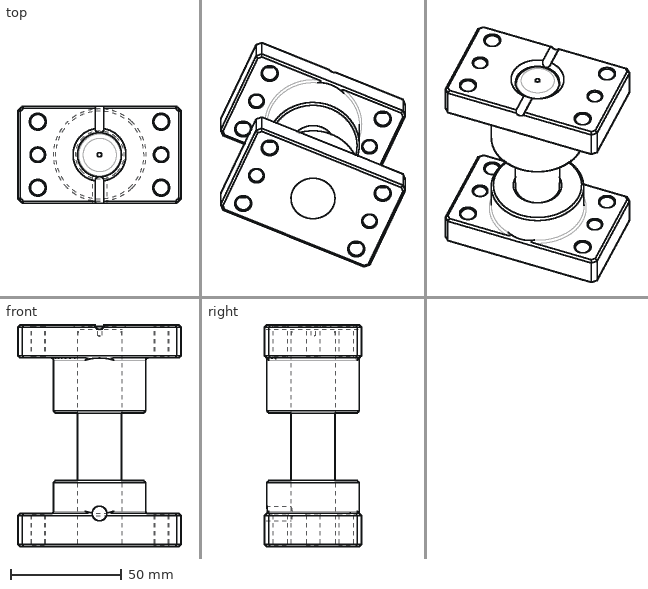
import cadquery as cq
import math

total_height = 100.6
plate_length = 74.0
plate_width = 44.0
plate_thickness = 15.0
corner_chamfer = 2.0
edge_chamfer = 1.0

hub_diameter = 42.0
hub_edge_chamfer = 1.0
hub_root_fillet = 1.0
base_flange_height = 30.0
head_flange_height = 40.0

hole_spacing_x = 56.0
screw_spacing_y = 30.0
screw_hole_diameter = 6.6
dowel_hole_diameter = 6.0
hole_chamfer = 0.5

pin_diameter = 20.0
pin_top_gap = 0.6
pin_lead_in_length = 4.0
pin_lead_in_setback = 0.8
pin_end_radius = 2.0
center_hole_diameter = 2.0
center_hole_depth = 4.0
drill_point_angle = 118.0
base_bore_chamfer = 1.0
head_bore_chamfer = 2.0

vent_groove_radius = 2.0
cross_hole_diameter = 6.6


def revolve_profile(points):
    """Body turned around the Z axis from (radius, height) points."""
    return cq.Workplane("XZ").polyline(points).close().revolve(360, (0, 0, 0), (0, 1, 0))


def make_plate():
    """Chamfered rectangular plate standing on Z = 0."""
    plate = cq.Workplane("XY").box(
        plate_length, plate_width, plate_thickness, centered=(True, True, False)
    )
    plate = plate.edges("|Z").chamfer(corner_chamfer)
    return plate.faces("<Z or >Z").edges().chamfer(edge_chamfer)


def make_hub(top):
    """Chamfered hub rising from the plate face up to the given height."""
    hub = cq.Workplane("XY").workplane(offset=plate_thickness)
    hub = hub.circle(hub_diameter / 2).extrude(top - plate_thickness)
    return hub.faces(">Z").edges().chamfer(hub_edge_chamfer)


def make_root_fillet():
    """Concave ring at the hub root, trimmed by the slopes of the plate's rim chamfer."""
    inner = pin_diameter / 2
    hub_radius = hub_diameter / 2
    outer = hub_radius + hub_root_fillet
    bottom = plate_thickness - edge_chamfer
    arc_top = plate_thickness + hub_root_fillet
    arc_offset = hub_root_fillet * (1 - math.sqrt(0.5))
    ring = (
        cq.Workplane("XZ")
        .moveTo(inner, bottom)
        .lineTo(outer, bottom)
        .lineTo(outer, plate_thickness)
        .threePointArc(
            (hub_radius + arc_offset, plate_thickness + arc_offset), (hub_radius, arc_top)
        )
        .lineTo(inner, arc_top)
        .close()
        .revolve(360, (0, 0, 0), (0, 1, 0))
    )
    slopes = cq.Workplane("XY").workplane(offset=bottom)
    slopes = slopes.rect(plate_length, plate_width).extrude(arc_top - bottom, taper=45)
    return ring.intersect(slopes)


def make_through_holes(diameter, points):
    """Cutters for plate holes that are chamfered at both faces."""
    radius = diameter / 2
    rim = radius + hole_chamfer
    profile = [
        (0, 0),
        (rim, 0),
        (radius, hole_chamfer),
        (radius, plate_thickness - hole_chamfer),
        (rim, plate_thickness),
        (0, plate_thickness),
    ]
    cutter = revolve_profile(profile)
    return [cutter.translate((x, y, 0)) for x, y in points]


def make_flange(height):
    """Plate and hub with mounting holes and the pin bore; hub points up."""
    flange = make_plate().union(make_hub(height)).union(make_root_fillet())
    sides = (-hole_spacing_x / 2, hole_spacing_x / 2)
    screw_points = [(x, y) for x in sides for y in (-screw_spacing_y / 2, screw_spacing_y / 2)]
    dowel_points = [(x, 0) for x in sides]
    cutters = make_through_holes(screw_hole_diameter, screw_points)
    cutters += make_through_holes(dowel_hole_diameter, dowel_points)
    for cutter in cutters:
        flange = flange.cut(cutter)
    bore = cq.Workplane("XY").circle(pin_diameter / 2).extrude(height)
    return flange.cut(bore)


def make_base():
    """Lower flange with a chamfered bore mouth and a cross hole from -Y to the bore."""
    base = make_flange(base_flange_height)
    mouth = cq.Solid.makeCone(
        pin_diameter / 2,
        pin_diameter / 2 + base_bore_chamfer,
        base_bore_chamfer,
        pnt=cq.Vector(0, 0, base_flange_height - base_bore_chamfer),
    )
    cross_hole = cq.Solid.makeCylinder(
        cross_hole_diameter / 2,
        plate_width / 2,
        pnt=cq.Vector(0, -plate_width / 2, plate_thickness),
        dir=cq.Vector(0, 1, 0),
    )
    return base.cut(cq.Workplane(mouth)).cut(cq.Workplane(cross_hole))


def make_head():
    """Upper flange turned hub down, with a conical recess and a vent groove on top."""
    head = make_flange(head_flange_height)
    head = head.rotate((0, 0, 0), (1, 0, 0), 180).translate((0, 0, total_height))
    recess = cq.Solid.makeCone(
        pin_diameter / 2,
        pin_diameter / 2 + head_bore_chamfer,
        head_bore_chamfer,
        pnt=cq.Vector(0, 0, total_height - head_bore_chamfer),
    )
    groove = cq.Solid.makeCylinder(
        vent_groove_radius,
        plate_width,
        pnt=cq.Vector(0, -plate_width / 2, total_height),
        dir=cq.Vector(0, 1, 0),
    )
    return head.cut(cq.Workplane(recess)).cut(cq.Workplane(groove))


def make_pin():
    """Guide pin with a tapered, rounded upper end and a drilled center hole."""
    length = total_height - pin_top_gap
    radius = pin_diameter / 2
    profile = [
        (0, 0),
        (radius, 0),
        (radius, length - pin_lead_in_length),
        (radius - pin_lead_in_setback, length),
        (0, length),
    ]
    pin = revolve_profile(profile)
    pin = pin.faces(">Z").edges().fillet(pin_end_radius)

    hole_radius = center_hole_diameter / 2
    point_length = hole_radius / math.tan(math.radians(drill_point_angle / 2))
    hole_end = length - center_hole_depth
    center_hole = revolve_profile(
        [(0, length), (hole_radius, length), (hole_radius, hole_end), (0, hole_end - point_length)]
    )
    return pin.cut(center_hole)


base = make_base()
head = make_head()
pin = make_pin()

result = cq.Compound.makeCompound([base.solids().val(), head.solids().val(), pin.solids().val()])